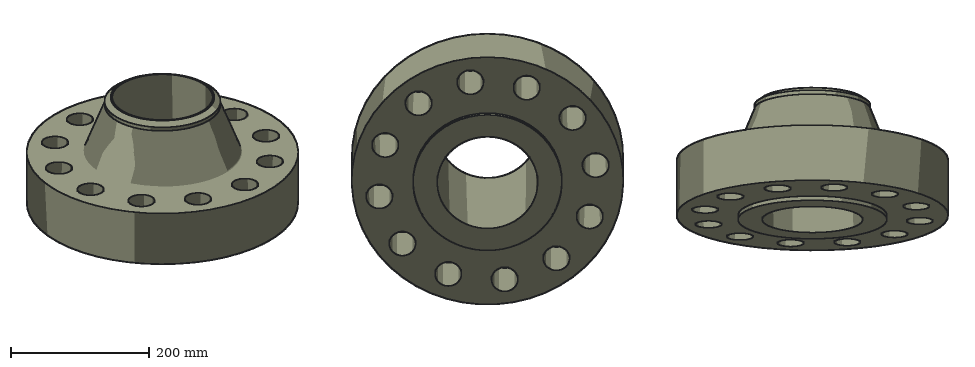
import cadquery as cq

flange_diameter = 393.5
flange_thickness = 82.5
total_height = 178.0

raised_face_diameter = 215.5
raised_face_height = 6.3

hub_base_diameter = 229.0
hub_fillet_radius = 3.0
weld_end_diameter = 168.0
weld_end_straight = 6.0

bevel_height = 6.3
weld_land = 2.5
bore_diameter = 145.5

bolt_count = 12
bolt_circle_diameter = 317.2
bolt_hole_diameter = 38.0

flange_bottom = raised_face_height
flange_top = flange_bottom + flange_thickness
bevel_start = total_height - bevel_height
cone_top = bevel_start - weld_end_straight


def disc(diameter, bottom, height):
    """Solid cylinder on the Z axis."""
    return cq.Workplane("XY").workplane(offset=bottom).circle(diameter / 2).extrude(height)


def make_hub():
    """Tapered neck with a short straight end and a welding bevel."""
    base_radius = hub_base_diameter / 2
    end_radius = weld_end_diameter / 2
    tip_radius = bore_diameter / 2 + weld_land
    half_profile = [
        (0, flange_top),
        (base_radius, flange_top),
        (end_radius, cone_top),
        (end_radius, bevel_start),
        (tip_radius, total_height),
        (0, total_height),
    ]
    return cq.Workplane("XZ").polyline(half_profile).close().revolve(360, (0, 0), (0, 1))


def make_bolt_holes():
    """Ring of through-hole cutters, with the first hole on the +X axis."""
    return (
        cq.Workplane("XY")
        .workplane(offset=flange_bottom)
        .polarArray(bolt_circle_diameter / 2, 0, 360, bolt_count)
        .circle(bolt_hole_diameter / 2)
        .extrude(flange_thickness)
    )


def fillet_hub_root(body):
    """Round the corner where the hub meets the top of the flange."""
    margin = hub_fillet_radius / 2
    around_root_centre = cq.selectors.BoxSelector(
        (-margin, -margin, flange_top - margin),
        (margin, margin, flange_top + margin),
    )
    root_edge = body.edges(around_root_centre).edges(cq.selectors.RadiusNthSelector(0))
    return root_edge.fillet(hub_fillet_radius)


raised_face = disc(raised_face_diameter, 0, raised_face_height)
flange = disc(flange_diameter, flange_bottom, flange_thickness)
body = fillet_hub_root(raised_face.union(flange).union(make_hub()))

bore = disc(bore_diameter, 0, total_height)
result = body.cut(bore).cut(make_bolt_holes())